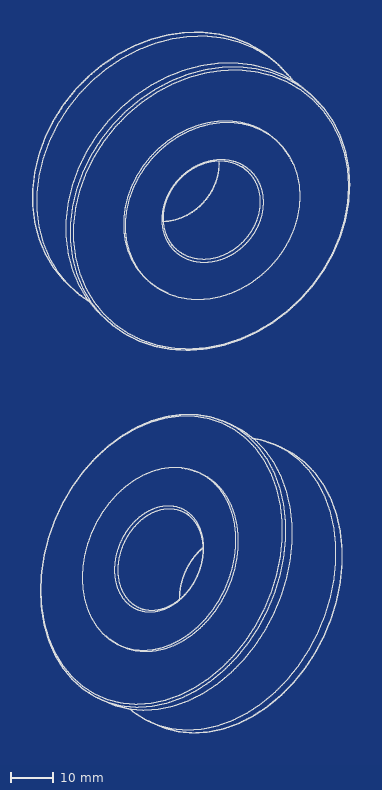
import cadquery as cq

outer_diameter = 72.0
rim_width = 23.75
rim_edge_break = 0.6

hub_diameter = 45.0
hub_width = 25.8

bore_diameter = 25.0
bore_edge_break = 0.6

groove_width = 17.4
groove_depth = 5.0

outer_radius = outer_diameter / 2
half_groove = groove_width / 2


def disc(diameter, width):
    """Plain disc about the X axis, centred on the YZ plane."""
    return cq.Workplane("YZ").circle(diameter / 2).extrude(width / 2, both=True)


def rope_groove():
    """Ring with a circular-arc floor that cuts the groove around the rim."""
    clear_radius = outer_radius + groove_depth
    return (
        cq.Workplane("XY")
        .moveTo(-half_groove, clear_radius)
        .lineTo(-half_groove, outer_radius)
        .threePointArc((0, outer_radius - groove_depth), (half_groove, outer_radius))
        .lineTo(half_groove, clear_radius)
        .close()
        .revolve(360, (0, 0, 0), (1, 0, 0))
    )


rim = disc(outer_diameter, rim_width).faces("<X or >X").edges().chamfer(rim_edge_break)
rim = rim.cut(rope_groove())

body = rim.union(disc(hub_diameter, hub_width))

bore = disc(bore_diameter, hub_width)
bored = body.cut(bore)
bore_edges = bored.faces("<X or >X").edges(cq.selectors.RadiusNthSelector(0))
result = bore_edges.chamfer(bore_edge_break)